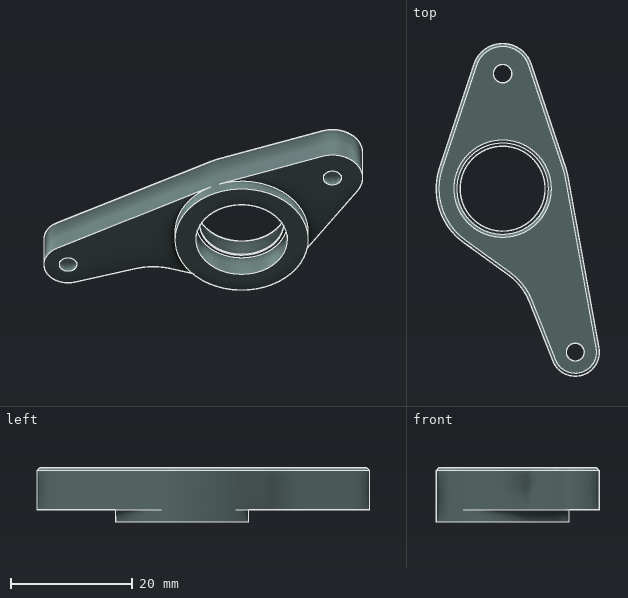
import cadquery as cq
import math

plate_thickness = 7.0
boss_height = 2.0
rim_chamfer = 0.5

hub_center = (0.0, 0.0)
hub_radius = 11.0
lip_diameter = 14.0
seat_diameter = 15.1
upper_seat_depth = 4.5
lip_thickness = 0.3
seat_chamfer = 0.5

upper_center = (0.0, 19.0)
upper_radius = 5.0
upper_hole_diameter = 3.0
lower_center = (12.0, -27.0)
lower_radius = 4.0
lower_hole_diameter = 2.9

hub_flank_slope = 35.8
arm_flank_slope = 68.4
flank_arc_radius = 10.0


def on_circle(center, radius, angle):
    """Point on a circle at an angle in degrees from +X."""
    turn = math.radians(angle)
    return (center[0] + radius * math.cos(turn), center[1] + radius * math.sin(turn))


def tangent_normal(center_a, radius_a, center_b, radius_b):
    """Outward normal angle of the outer tangent on the right-hand side going from a to b."""
    dx = center_b[0] - center_a[0]
    dy = center_b[1] - center_a[1]
    lean = math.acos((radius_a - radius_b) / math.hypot(dx, dy))
    return math.degrees(math.atan2(dy, dx) - lean)


def flank_arc_center(hub_normal, arm_normal):
    """Center of the arc that touches both flank edges from outside the plate."""
    hub_x, hub_y = on_circle((0.0, 0.0), 1.0, hub_normal)
    arm_x, arm_y = on_circle((0.0, 0.0), 1.0, arm_normal)
    hub_reach = hub_center[0] * hub_x + hub_center[1] * hub_y + hub_radius + flank_arc_radius
    arm_reach = lower_center[0] * arm_x + lower_center[1] * arm_y + lower_radius + flank_arc_radius
    det = hub_x * arm_y - hub_y * arm_x
    x = (hub_reach * arm_y - arm_reach * hub_y) / det
    y = (hub_x * arm_reach - arm_x * hub_reach) / det
    return (x, y)


def make_plate():
    """Plate made of tangent arcs and lines, run counterclockwise, with a chamfered top rim."""
    lower_right = tangent_normal(lower_center, lower_radius, hub_center, hub_radius)
    upper_right = tangent_normal(hub_center, hub_radius, upper_center, upper_radius)
    upper_left = tangent_normal(upper_center, upper_radius, hub_center, hub_radius) + 360.0
    hub_flank = 270.0 - hub_flank_slope
    arm_flank = 270.0 - arm_flank_slope
    arc_center = flank_arc_center(hub_flank, arm_flank)

    arcs = [
        (hub_center, hub_radius, lower_right, upper_right),
        (upper_center, upper_radius, upper_right, upper_left),
        (hub_center, hub_radius, upper_left, hub_flank),
        (arc_center, flank_arc_radius, hub_flank - 180.0, arm_flank - 180.0),
        (lower_center, lower_radius, arm_flank, lower_right + 360.0),
    ]
    outline = cq.Workplane("XY").moveTo(*on_circle(hub_center, hub_radius, lower_right))
    for index, (center, radius, start, end) in enumerate(arcs):
        if index > 0:
            outline = outline.lineTo(*on_circle(center, radius, start))
        middle = on_circle(center, radius, (start + end) / 2)
        outline = outline.threePointArc(middle, on_circle(center, radius, end))
    plate = outline.close().extrude(plate_thickness)
    return plate.faces(">Z").edges().chamfer(rim_chamfer)


def make_boss():
    """Round boss under the hub."""
    return cq.Workplane("XY").center(*hub_center).circle(hub_radius).extrude(-boss_height)


def through_hole(center, diameter):
    """Cutter running through the plate and the boss."""
    return (
        cq.Workplane("XY", origin=(0, 0, -boss_height))
        .center(*center)
        .circle(diameter / 2)
        .extrude(boss_height + plate_thickness)
    )


def make_upper_seat():
    """Cutter for the upper bearing seat, flared at the top face."""
    seat = (
        cq.Workplane("XY", origin=(0, 0, plate_thickness))
        .center(*hub_center)
        .circle(seat_diameter / 2)
        .extrude(-upper_seat_depth)
    )
    flare = (
        cq.Workplane("XY", origin=(0, 0, plate_thickness))
        .center(*hub_center)
        .circle(seat_diameter / 2 + seat_chamfer)
        .workplane(offset=-seat_chamfer)
        .circle(seat_diameter / 2)
        .loft(ruled=True)
    )
    return seat.union(flare)


def make_lower_seat():
    """Cutter for the lower bearing seat, open at the underside of the boss."""
    lower_seat_depth = plate_thickness + boss_height - upper_seat_depth - lip_thickness
    return (
        cq.Workplane("XY", origin=(0, 0, -boss_height))
        .center(*hub_center)
        .circle(seat_diameter / 2)
        .extrude(lower_seat_depth)
    )


result = make_plate().union(make_boss())
result = result.cut(make_upper_seat()).cut(make_lower_seat())
result = result.cut(through_hole(hub_center, lip_diameter))
result = result.cut(through_hole(upper_center, upper_hole_diameter))
result = result.cut(through_hole(lower_center, lower_hole_diameter))